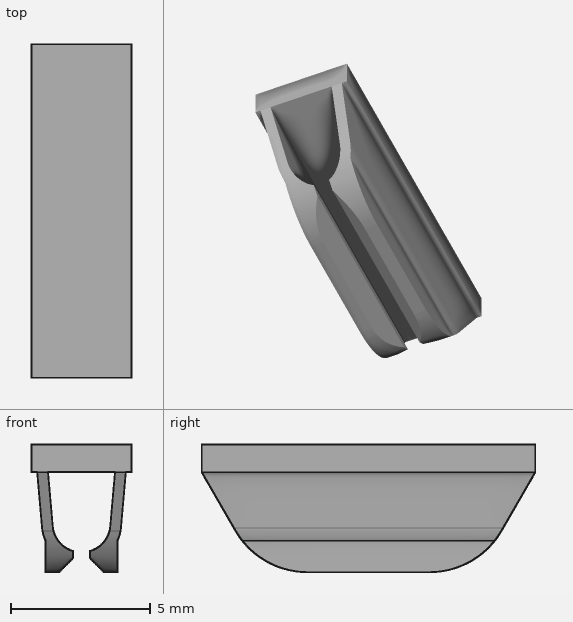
import cadquery as cq
import math

plate_width = 3.6
plate_length = 12.0
height = 4.6
plate_thickness = 1.0
leg_depth = height - plate_thickness

lean = math.radians(5)
leg_inner_top = 1.2
leg_thickness = 0.4
bend_inner_radius = 1.0
bend_outer_radius = bend_inner_radius + leg_thickness
bend_center_z = -1.87
hook_outer_x = 1.3
hook_tip_x = 0.3
tip_chamfer = 0.52

end_angle = math.radians(60)
end_radius = 3.0

bend_center_x = leg_inner_top + bend_center_z * math.tan(lean) - bend_inner_radius / math.cos(lean)
leg_outer_top = leg_inner_top + leg_thickness / math.cos(lean)


def bend_point(radius, angle):
    """Point on a bend arc, with the angle measured downward from +X."""
    return (
        bend_center_x + radius * math.cos(angle),
        bend_center_z - radius * math.sin(angle),
    )


def make_leg():
    """The +X leg: leaning wall, inward bend and chamfered hook."""
    inner_end = math.acos((hook_tip_x - bend_center_x) / bend_inner_radius)
    outer_end = math.acos((hook_outer_x - bend_center_x) / bend_outer_radius)
    return (
        cq.Workplane("XZ")
        .moveTo(leg_inner_top, 0)
        .lineTo(*bend_point(bend_inner_radius, lean))
        .threePointArc(
            bend_point(bend_inner_radius, (lean + inner_end) / 2),
            bend_point(bend_inner_radius, inner_end),
        )
        .lineTo(hook_tip_x, tip_chamfer - leg_depth)
        .lineTo(hook_tip_x + tip_chamfer, -leg_depth)
        .lineTo(hook_outer_x, -leg_depth)
        .lineTo(*bend_point(bend_outer_radius, outer_end))
        .threePointArc(
            bend_point(bend_outer_radius, (lean + outer_end) / 2),
            bend_point(bend_outer_radius, lean),
        )
        .lineTo(leg_outer_top, 0)
        .close()
        .extrude(plate_length / 2, both=True)
    )


def make_end_outline():
    """Trapezoid with rounded lower corners that trims the leg ends."""
    half_top = plate_length / 2
    half_bottom = half_top - leg_depth / math.tan(end_angle)
    return (
        cq.Workplane("YZ")
        .polyline([
            (-half_top, 0),
            (half_top, 0),
            (half_bottom, -leg_depth),
            (-half_bottom, -leg_depth),
        ])
        .close()
        .extrude(plate_width / 2, both=True)
        .edges("<Z and |X")
        .fillet(end_radius)
    )


plate = cq.Workplane("XY").box(
    plate_width, plate_length, plate_thickness, centered=(True, True, False)
)
right_leg = make_leg().intersect(make_end_outline())
left_leg = right_leg.mirror("YZ")
result = plate.union(right_leg).union(left_leg)